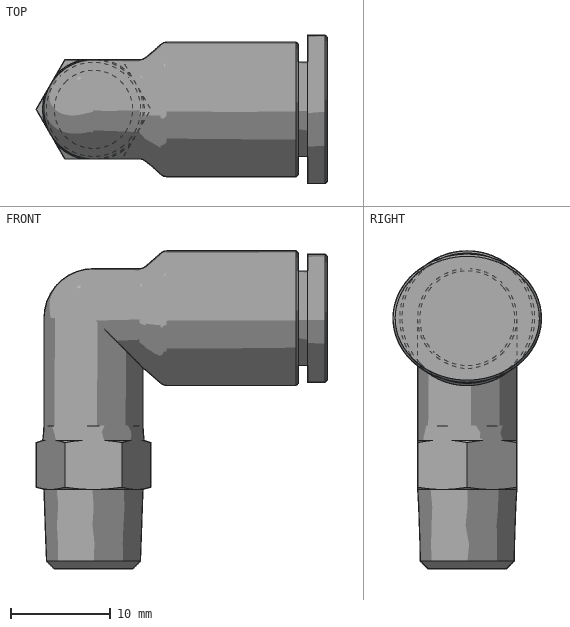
import cadquery as cq
import math

overall_height = 32.1

elbow_radius = 5.0
axis_height = 25.3

thread_length = 8.02
thread_top_radius = elbow_radius
thread_tip_radius = 4.75
tip_chamfer = 0.8

hex_across_flats = 2 * elbow_radius
hex_corner_radius = hex_across_flats / math.sqrt(3)
hex_shoulder_height = 12.97
hex_bevel_drop = 0.22
crown_top_height = 14.45
crown_base_radius = 5.15

socket_radius = overall_height - axis_height
cone_start = elbow_radius
cone_end = 7.05
cone_blend_radius = 0.93
socket_end = 20.67
edge_chamfer = 0.22

neck_radius = 4.78
collar_start = 21.6
collar_end = 23.6
collar_width = 15.0
collar_height = 12.95


def make_thread():
    outline = [
        (0, 0),
        (thread_tip_radius - tip_chamfer, 0),
        (thread_tip_radius, tip_chamfer),
        (thread_top_radius, thread_length),
        (0, thread_length),
    ]
    return cq.Workplane("XZ").polyline(outline).close().revolve(360, (0, 0, 0), (0, 1, 0))


def make_hexagon():
    """Hexagonal prism trimmed by a turned shape: bevelled corners and a tapered crown on top."""
    prism = (
        cq.Workplane("XY")
        .workplane(offset=thread_length)
        .polygon(6, 2 * hex_corner_radius)
        .extrude(crown_top_height - thread_length)
    )
    turned_outline = [
        (0, thread_length),
        (elbow_radius, thread_length),
        (hex_corner_radius, thread_length + hex_bevel_drop),
        (hex_corner_radius, hex_shoulder_height - hex_bevel_drop),
        (crown_base_radius, hex_shoulder_height),
        (elbow_radius, crown_top_height),
        (0, crown_top_height),
    ]
    turned = cq.Workplane("XZ").polyline(turned_outline).close().revolve(360, (0, 0, 0), (0, 1, 0))
    return prism.intersect(turned)


def make_vertical_leg():
    leg = (
        cq.Workplane("XY")
        .workplane(offset=crown_top_height)
        .circle(elbow_radius)
        .extrude(axis_height - crown_top_height)
    )
    ball = cq.Workplane("XY").sphere(elbow_radius).translate((0, 0, axis_height))
    return leg.union(ball)


def make_horizontal_leg():
    """Elbow leg widening through a blended cone into the tube socket."""
    outline = [
        (0, 0),
        (0, elbow_radius),
        (cone_start, elbow_radius),
        (cone_end, socket_radius),
        (socket_end - edge_chamfer, socket_radius),
        (socket_end, socket_radius - edge_chamfer),
        (socket_end, 0),
    ]
    leg = cq.Workplane("XZ").polyline(outline).close().revolve(360, (0, 0, 0), (1, 0, 0))
    edge_reach = 0.03
    for x, radius in ((cone_start, elbow_radius), (cone_end, socket_radius)):
        cone_edge = cq.selectors.BoxSelector(
            (x - edge_reach, -radius - edge_reach, -radius - edge_reach),
            (x + edge_reach, radius + edge_reach, radius + edge_reach),
            boundingbox=True,
        )
        leg = leg.edges(cone_edge).edges("%CIRCLE").fillet(cone_blend_radius)
    return leg.translate((0, 0, axis_height))


def make_collar():
    neck = (
        cq.Workplane("YZ", origin=(socket_end, 0, axis_height))
        .circle(neck_radius)
        .extrude(collar_start - socket_end)
    )
    flange = (
        cq.Workplane("YZ", origin=(collar_start, 0, axis_height))
        .ellipse(collar_width / 2, collar_height / 2)
        .extrude(collar_end - collar_start)
        .faces(">X")
        .chamfer(edge_chamfer)
    )
    return neck.union(flange)


result = (
    make_thread()
    .union(make_hexagon())
    .union(make_vertical_leg())
    .union(make_horizontal_leg())
    .union(make_collar())
)